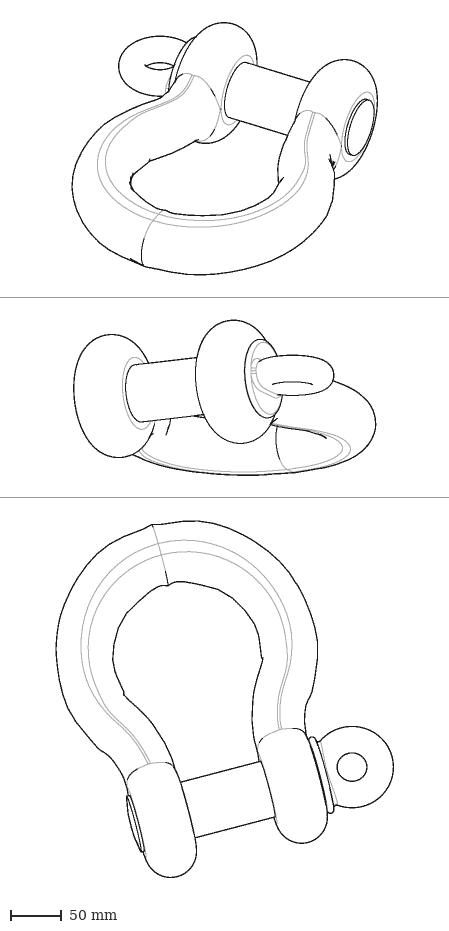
import cadquery as cq
import math


eye_radius = 61.085
eye_width = 50.7
eye_offset = 66.85
eye_rim_radius = eye_width / 2
eye_flat_radius = eye_radius - eye_rim_radius
eye_outer_face = eye_offset + eye_width / 2
eye_inner_face = eye_offset - eye_width / 2

overall_length = 348.94
bow_center_y = -152.0
bow_inner_radius = 73.0
bow_side_radius = 129.0
bow_bottom_radius = overall_length - eye_radius + bow_center_y
bow_half_height = 26.2
bow_side_flat = 6.7
bow_bottom_flat = 12.0
bow_end_angle = 33.0
bow_steps_below = 5

leg_half_height = 27.4
leg_flat = 2.5
neck_blend_radius = 38.0
neck_root_y = -36.0
neck_root_half_height = 42.0
leg_sections = [
    ((103.2, -76.0), (50.0, -90.0)),
    ((98.2, -67.5), (44.6, -72.0)),
    ((94.4, -56.0), (42.2, -58.0)),
    ((92.8, -46.0), (eye_inner_face, -47.0)),
]

pin_radius = 28.5
pin_end_x = 95.2
pin_dome_height = 3.3
collar_radius = 39.0
collar_thickness = 6.4
seat_radius = 31.2
seat_thickness = 0.9
ring_outer_radius = 41.0
ring_hole_radius = 14.6
ring_center_x = -127.7
ring_blend_radius = 3.0
ring_tube_radius = (ring_outer_radius - ring_hole_radius) / 2
ring_path_radius = ring_outer_radius - ring_tube_radius
collar_inner_x = -eye_outer_face - seat_thickness
collar_outer_x = collar_inner_x - collar_thickness


def rod_section(outer, inner, half_height, flat):
    """Closed section across the rod: two half ellipses joined by flats on top and bottom."""
    out_x, out_y = outer
    in_x, in_y = inner
    width = math.hypot(out_x - in_x, out_y - in_y)
    across = cq.Vector(out_x - in_x, out_y - in_y, 0) / width
    middle = cq.Vector((out_x + in_x) / 2, (out_y + in_y) / 2, 0)
    normal = across.cross(cq.Vector(0, 0, 1))
    plane = cq.Plane(middle, across, normal)
    half_flat = flat / 2
    nose = (width - flat) / 2
    return (
        cq.Workplane(plane)
        .moveTo(half_flat, -half_height)
        .ellipseArc(nose, half_height, -90, 90, startAtCurrent=True)
        .lineTo(-half_flat, half_height)
        .ellipseArc(nose, half_height, 90, 270, startAtCurrent=True)
        .close()
        .val()
    )


def bow_section(angle):
    """Bow section at an angle in degrees above the +X direction; the bow is thickest at -90."""
    turn = math.radians(angle)
    if angle < 0:
        depth = math.sin(turn) ** 2
        outer_radius = bow_side_radius + (bow_bottom_radius - bow_side_radius) * depth
        flat = bow_side_flat + (bow_bottom_flat - bow_side_flat) * depth
        half_height = bow_half_height
    else:
        rise = angle / bow_end_angle
        outer_radius = bow_side_radius
        flat = bow_side_flat + (leg_flat - bow_side_flat) * rise
        half_height = bow_half_height + (leg_half_height - bow_half_height) * rise
    outer, inner = [
        (r * math.cos(turn), bow_center_y + r * math.sin(turn))
        for r in (outer_radius, bow_inner_radius)
    ]
    return rod_section(outer, inner, half_height, flat)


def neck_half_height(y):
    """Half height where a concave arc blends the leg into the round eye."""
    arc_z = leg_half_height + neck_blend_radius
    arc_y = -math.sqrt((eye_radius + neck_blend_radius) ** 2 - arc_z**2)
    if y < arc_y:
        return leg_half_height
    return arc_z - math.sqrt(neck_blend_radius**2 - (y - arc_y) ** 2)


def make_half_rod():
    """Right half of the rod, from the bottom of the bow up into the right eye."""
    below = [-90 + 90 * i / bow_steps_below for i in range(bow_steps_below + 1)]
    sections = [bow_section(a) for a in below + [bow_end_angle / 2, bow_end_angle]]
    for outer, inner in leg_sections:
        half_height = neck_half_height((outer[1] + inner[1]) / 2)
        sections.append(rod_section(outer, inner, half_height, leg_flat))
    root_outer = (eye_outer_face, neck_root_y)
    root_inner = (eye_inner_face, neck_root_y)
    sections.append(rod_section(root_outer, root_inner, neck_root_half_height, leg_flat))
    return cq.Workplane(cq.Solid.makeLoft(sections))


def make_eye(side):
    """Disc with a fully rounded rim, centered on the pin axis."""
    return (
        cq.Workplane("XY")
        .moveTo(-eye_rim_radius, 0)
        .lineTo(-eye_rim_radius, eye_flat_radius)
        .threePointArc((0, eye_radius), (eye_rim_radius, eye_flat_radius))
        .lineTo(eye_rim_radius, 0)
        .close()
        .revolve(360, (0, 0, 0), (1, 0, 0))
        .translate((side * eye_offset, 0, 0))
    )


def make_shackle():
    """Bow, necks and both eyes as one forging, bored through for the pin."""
    half_rod = make_half_rod()
    body = half_rod.union(half_rod.mirror("YZ"))
    for side in (-1, 1):
        body = body.union(make_eye(side))
    bore = cq.Workplane("YZ").circle(pin_radius).extrude(eye_outer_face, both=True)
    return body.cut(bore)


def make_ring():
    """Finger ring, cut off flush where it meets the collar."""
    torus = (
        cq.Workplane("XZ")
        .center(-ring_path_radius, 0)
        .circle(ring_tube_radius)
        .revolve(360, (ring_path_radius, 0, 0), (ring_path_radius, 1, 0))
        .translate((ring_center_x, 0, 0))
    )
    beyond = (
        cq.Workplane("YZ", origin=(collar_outer_x, 0, 0))
        .rect(2 * ring_outer_radius, 2 * ring_outer_radius)
        .extrude(ring_outer_radius)
    )
    return torus.cut(beyond)


def make_pin():
    """Domed shank, seat and collar turned about X, with the finger ring on the collar."""
    collar_round = collar_thickness / 2
    dome_sphere_radius = (pin_radius**2 + pin_dome_height**2) / (2 * pin_dome_height)
    dome_drop = dome_sphere_radius - math.sqrt(dome_sphere_radius**2 - (pin_radius / 2) ** 2)
    tip_x = pin_end_x + pin_dome_height
    turned = (
        cq.Workplane("XY")
        .moveTo(collar_outer_x, 0)
        .lineTo(collar_outer_x, collar_radius - collar_round)
        .threePointArc(
            (collar_outer_x + collar_round, collar_radius),
            (collar_inner_x, collar_radius - collar_round),
        )
        .lineTo(collar_inner_x, seat_radius)
        .lineTo(-eye_outer_face, seat_radius)
        .lineTo(-eye_outer_face, pin_radius)
        .lineTo(pin_end_x, pin_radius)
        .threePointArc((tip_x - dome_drop, pin_radius / 2), (tip_x, 0))
        .close()
        .revolve(360, (0, 0, 0), (1, 0, 0))
    )
    joined = turned.union(make_ring())
    foot_height = ring_tube_radius + ring_blend_radius
    foot = cq.selectors.BoxSelector(
        (collar_outer_x - collar_round / 2, -collar_radius, -foot_height),
        (collar_outer_x + collar_round / 2, collar_radius, foot_height),
        boundingbox=True,
    )
    return joined.edges(foot).fillet(ring_blend_radius)


shackle = make_shackle()
pin = make_pin()
result = cq.Compound.makeCompound([shackle.solids().val(), pin.solids().val()])